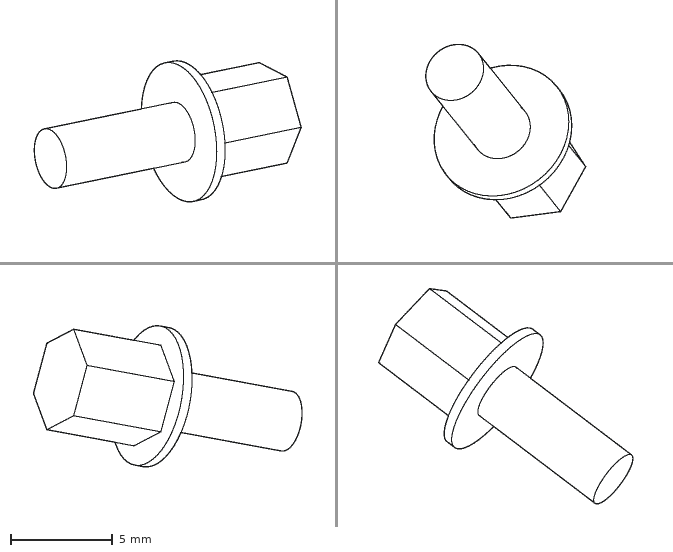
import cadquery as cq
import math

total_length = 13.0
head_length = 5.0
flange_thickness = 0.5
flange_diameter = 7.0
shank_diameter = 3.0
head_across_flats = 4.5

shank_length = total_length - head_length - flange_thickness
head_across_corners = head_across_flats / math.cos(math.pi / 6)
shank_start = 0.0
flange_start = shank_start + shank_length
head_start = flange_start + flange_thickness


def cross_section_at(y):
    """Plane across the axis at height y, with its normal along +Y and local x along +X."""
    return cq.Workplane(cq.Plane(origin=(0, y, 0), xDir=(1, 0, 0), normal=(0, 1, 0)))


def make_shank():
    """Plain round rod at the -Y end."""
    return cross_section_at(shank_start).circle(shank_diameter / 2).extrude(shank_length)


def make_flange():
    """Thin round disc between the shank and the head."""
    return cross_section_at(flange_start).circle(flange_diameter / 2).extrude(flange_thickness)


def make_head():
    """Hexagonal prism at the +Y end, with two corners on the X axis."""
    return cross_section_at(head_start).polygon(6, head_across_corners).extrude(head_length)


shank = make_shank()
flange = make_flange()
head = make_head()

result = cq.Compound.makeCompound([shank.val(), flange.val(), head.val()])